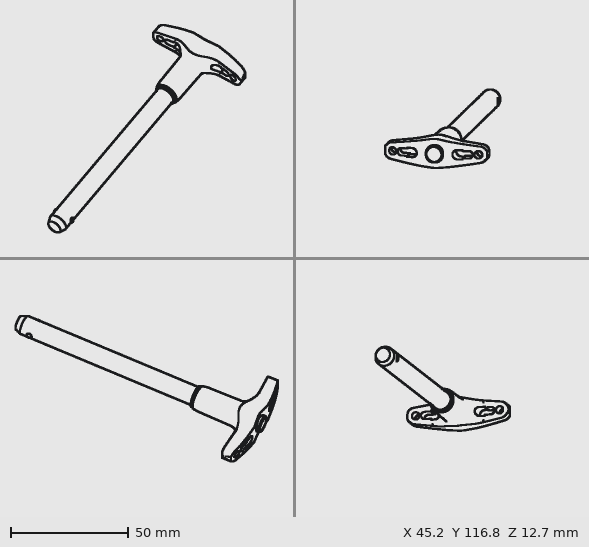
import cadquery as cq


LENGTH = 116.8
SHANK_R = 4.2
TIP_R = 3.2
TIP_TAPER = 2.7

BALL_R = 1.6
BALL_Y = 7.1
BALL_REACH = 4.8

COLLAR_R = 4.8
COLLAR_Y = 84.6
GRIP_BASE_Y = 85.6
GRIP_BASE_R = 5.3
GRIP_ROUND_Y = 87.9
GRIP_LOW_R = 5.6
GRIP_TOP_Y = 103.3
GRIP_TOP_R = 5.8
FLARE_Y = 104.0

BUTTON_R = 3.7
BUTTON_CHAMFER = 0.5

HANDLE_LENGTH = 45.2
HANDLE_HALF = HANDLE_LENGTH / 2
HANDLE_BASE_HALF = 22.8
HANDLE_TOP_HALF = 22.2
HANDLE_THICK = 12.7
HANDLE_HALF_THICK = HANDLE_THICK / 2
CENTER_FLAT_HALF = 0.9
END_TANGENT_X = 19.3
END_TANGENT_Z = 3.6
CROWN_CENTER_Y = 115.0
CROWN_PEAK_X = 6.4
CROWN_PEAK_Y = 115.8
CROWN_MID_X = 14.6
CROWN_MID_Y = 114.7
CROWN_END_Y = 112.8
HANDLE_BASE_Y = 108.2
UNDERSIDE_CENTER_Y = 110.3
FLARE_R = 12.0
FLARE_TOP_Y = 109.2
FLARE_OVERLAP = 1.8
FLARE_MID_R = 7.5
FLARE_MID_Y = 107.5
LOWER_EDGE_ROUND = 1.0

HOLE_DIAMETER = 3.2
HOLE_R = HOLE_DIAMETER / 2
HOLE_X = 18.7
SLOT_OUTER_X = 16.4
WIDE_HALF = 2.0
WIDE_INNER_X = 7.8
WIDE_OUTER_X = 12.0


def make_pin():
    """Shank, collar and grip as one turned body."""
    return (
        cq.Workplane("XY")
        .lineTo(TIP_R, 0)
        .lineTo(SHANK_R, TIP_TAPER)
        .lineTo(SHANK_R, COLLAR_Y)
        .lineTo(COLLAR_R, COLLAR_Y)
        .lineTo(COLLAR_R, GRIP_BASE_Y)
        .lineTo(GRIP_BASE_R, GRIP_BASE_Y)
        .lineTo(GRIP_LOW_R, GRIP_ROUND_Y)
        .lineTo(GRIP_TOP_R, GRIP_TOP_Y)
        .lineTo(GRIP_TOP_R, FLARE_Y)
        .lineTo(0, FLARE_Y)
        .close()
        .revolve(360, (0, 0), (0, 1))
    )


def make_bar():
    """Crowned crossbar with sloping ends, extruded through Z."""
    half = (
        cq.Workplane("XY", origin=(0, 0, -HANDLE_HALF_THICK))
        .moveTo(0, UNDERSIDE_CENTER_Y)
        .lineTo(HANDLE_BASE_HALF, HANDLE_BASE_Y)
        .lineTo(HANDLE_TOP_HALF, CROWN_END_Y)
        .threePointArc((CROWN_MID_X, CROWN_MID_Y), (CROWN_PEAK_X, CROWN_PEAK_Y))
        .lineTo(CENTER_FLAT_HALF, CROWN_CENTER_Y)
        .lineTo(0, CROWN_CENTER_Y)
        .close()
        .extrude(HANDLE_THICK)
    )
    half = half.edges(
        cq.selectors.NearestToPointSelector((HANDLE_BASE_HALF, HANDLE_BASE_Y, 0))
    ).fillet(LOWER_EDGE_ROUND)
    return half.union(half.mirror("YZ"))


def make_flare():
    """Concave turned transition from the grip, overlapping into the crossbar."""
    return (
        cq.Workplane("XY")
        .moveTo(0, FLARE_Y)
        .lineTo(GRIP_TOP_R, FLARE_Y)
        .threePointArc((FLARE_MID_R, FLARE_MID_Y), (FLARE_R, FLARE_TOP_Y))
        .lineTo(FLARE_R, FLARE_TOP_Y + FLARE_OVERLAP)
        .lineTo(0, FLARE_TOP_Y + FLARE_OVERLAP)
        .close()
        .revolve(360, (0, 0), (0, 1))
    )


def make_planform():
    """Tapered, round-ended handle outline, extruded along the pin axis."""
    return (
        cq.Workplane("XZ")
        .moveTo(-CENTER_FLAT_HALF, HANDLE_HALF_THICK)
        .lineTo(CENTER_FLAT_HALF, HANDLE_HALF_THICK)
        .lineTo(END_TANGENT_X, END_TANGENT_Z)
        .threePointArc((HANDLE_HALF, 0), (END_TANGENT_X, -END_TANGENT_Z))
        .lineTo(CENTER_FLAT_HALF, -HANDLE_HALF_THICK)
        .lineTo(-CENTER_FLAT_HALF, -HANDLE_HALF_THICK)
        .lineTo(-END_TANGENT_X, -END_TANGENT_Z)
        .threePointArc((-HANDLE_HALF, 0), (-END_TANGENT_X, END_TANGENT_Z))
        .close()
        .extrude(-LENGTH)
    )


def make_openings(side):
    """Round hole and stepped slot of one wing; side is +1 or -1."""
    narrow_x = SLOT_OUTER_X - HOLE_R
    wide_x = WIDE_INNER_X + WIDE_HALF
    hole = cq.Workplane("XZ").center(side * HOLE_X, 0).circle(HOLE_R).extrude(-LENGTH)
    narrow = (
        cq.Workplane("XZ")
        .moveTo(side * wide_x, HOLE_R)
        .lineTo(side * narrow_x, HOLE_R)
        .threePointArc((side * SLOT_OUTER_X, 0), (side * narrow_x, -HOLE_R))
        .lineTo(side * wide_x, -HOLE_R)
        .close()
        .extrude(-LENGTH)
    )
    wide = (
        cq.Workplane("XZ")
        .moveTo(side * WIDE_OUTER_X, WIDE_HALF)
        .lineTo(side * wide_x, WIDE_HALF)
        .threePointArc((side * WIDE_INNER_X, 0), (side * wide_x, -WIDE_HALF))
        .lineTo(side * WIDE_OUTER_X, -WIDE_HALF)
        .close()
        .extrude(-LENGTH)
    )
    return hole.union(narrow).union(wide)


def make_button():
    """Chamfered push button reaching from the flare to the very top."""
    return (
        cq.Workplane("XZ", origin=(0, FLARE_Y, 0))
        .circle(BUTTON_R)
        .extrude(FLARE_Y - LENGTH)
        .faces(">Y")
        .chamfer(BUTTON_CHAMFER)
    )


handle = make_bar().union(make_flare()).intersect(make_planform())
for side in (-1, 1):
    handle = handle.cut(make_openings(side))

result = make_pin().union(handle).union(make_button())
for side in (-1, 1):
    ball_x = side * (BALL_REACH - BALL_R)
    ball = cq.Workplane("XY").sphere(BALL_R).translate((ball_x, BALL_Y, 0))
    result = result.union(ball)